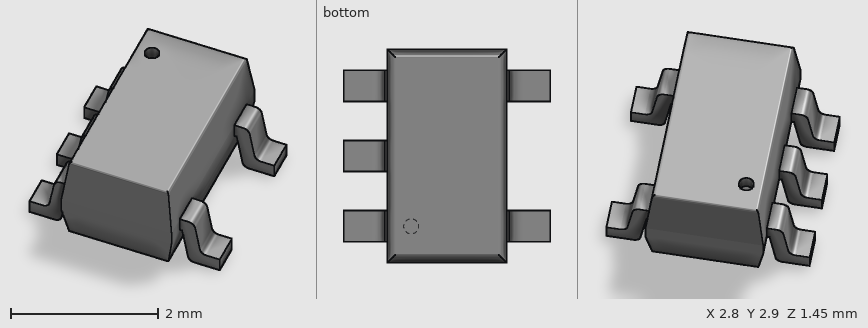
import cadquery as cq
import math

body_length = 2.9
body_width = 1.625
body_top = 1.45
body_bottom = 0.075
lead_span = 2.8

band_bottom = 0.557
band_top = 0.768
upper_draft = 7.0
lower_draft = 10.0
edge_radius = 0.04

lead_thickness = band_top - band_bottom
lead_width = 0.425
lead_pitch = 0.95
lead_lean = 10.0
bend_radius = 0.102
shoulder_inner_x = 0.847

mark_diameter = 0.203
mark_depth = 0.203
mark_x = -0.49
mark_y = lead_pitch


def body_layer(base_z, height, draft=0.0):
    """Rectangular layer that narrows away from base_z; a negative height goes down."""
    layer = cq.Workplane("XY").workplane(offset=base_z).rect(body_width, body_length)
    return layer.extrude(height, taper=draft)


def make_body():
    band = body_layer(band_bottom, lead_thickness)
    upper = body_layer(band_top, body_top - band_top, upper_draft)
    upper = upper.faces(">Z").edges().fillet(edge_radius)
    lower = body_layer(band_bottom, body_bottom - band_bottom, lower_draft)
    lower = lower.faces("<Z").edges().fillet(edge_radius)
    mark = (
        cq.Workplane("XY")
        .workplane(offset=body_top - mark_depth)
        .center(mark_x, mark_y)
        .circle(mark_diameter / 2)
        .extrude(mark_depth)
    )
    return band.union(upper).union(lower).cut(mark)


def make_lead(side, y):
    """Gull-wing lead; side is +1 for the +X row and -1 for the -X row."""
    lean = math.tan(math.radians(lead_lean))
    leg_width = lead_thickness / math.cos(math.radians(lead_lean))

    def leg_inner_x(z):
        return shoulder_inner_x + (band_bottom - z) * lean

    def leg_outer_x(z):
        return leg_inner_x(z) + leg_width

    root_x = body_width / 2
    toe_x = lead_span / 2
    upper_bend = (leg_outer_x(band_top), band_top)
    foot_bend = (leg_outer_x(lead_thickness), lead_thickness)
    heel_bend = (leg_inner_x(0), 0)
    outline = [
        (root_x, band_bottom),
        (root_x, band_top),
        upper_bend,
        foot_bend,
        (toe_x, lead_thickness),
        (toe_x, 0),
        heel_bend,
        (shoulder_inner_x, band_bottom),
    ]
    lead = (
        cq.Workplane("XZ", origin=(0, y, 0))
        .polyline([(side * x, z) for x, z in outline])
        .close()
        .extrude(lead_width / 2, both=True)
    )
    for x, z in (upper_bend, foot_bend, heel_bend):
        bend_edge = cq.selectors.NearestToPointSelector((side * x, y, z))
        lead = lead.edges("|Y").edges(bend_edge).fillet(bend_radius)
    return lead


body = make_body()

lead_places = [(-1, -1), (-1, 0), (-1, 1), (1, -1), (1, 1)]
leads = [make_lead(side, row * lead_pitch) for side, row in lead_places]

result = cq.Compound.makeCompound([body.val(), *[lead.val() for lead in leads]])